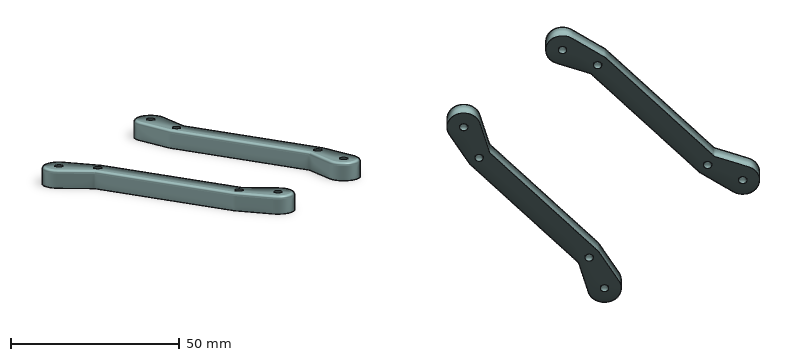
import cadquery as cq
import math

LENGTH = 80.0
HEIGHT = 5.5
END_DIAMETER = 10.0
BAR_WIDTH = 7.0
BEND_X = 24.0
END_OFFSET = 4.0
HOLE_DIAMETER = 2.5
ROUNDING_DIAMETER = 2.0
ARM_SPACING = 48.0

END_RADIUS = END_DIAMETER / 2
BAR_HALF = BAR_WIDTH / 2
ROUNDING_RADIUS = ROUNDING_DIAMETER / 2
END_X = LENGTH / 2 - END_RADIUS
ARM_RUN = END_X - BEND_X
ARM_ANGLE = math.atan2(END_OFFSET, ARM_RUN)
TAPER_ANGLE = math.asin((END_RADIUS - BAR_HALF) / math.hypot(ARM_RUN, END_OFFSET))
OUTER_ANGLE = ARM_ANGLE - TAPER_ANGLE
INNER_ANGLE = ARM_ANGLE + TAPER_ANGLE
INNER_CORNER_X = BEND_X - BAR_HALF * math.tan(INNER_ANGLE / 2)

HOLE_CENTERS = [
    (-END_X, -END_OFFSET),
    (-BEND_X, 0),
    (BEND_X, 0),
    (END_X, END_OFFSET),
]


def polar(center_x, center_y, radius, angle):
    """Point on a circle, with the angle measured from +X."""
    return (center_x + radius * math.cos(angle), center_y + radius * math.sin(angle))


def opposite(point):
    """The same point turned half a revolution about the middle of the arm."""
    return (-point[0], -point[1])


def arm_outline():
    """S-shaped outline: a straight bar whose tapered ends are tangent to the end rounds."""
    down = -math.pi / 2
    up = math.pi / 2
    bend_start = (BEND_X, -BAR_HALF)
    bend_middle = polar(BEND_X, 0, BAR_HALF, down + OUTER_ANGLE / 2)
    bend_end = polar(BEND_X, 0, BAR_HALF, down + OUTER_ANGLE)
    end_start = polar(END_X, END_OFFSET, END_RADIUS, down + OUTER_ANGLE)
    end_middle = polar(END_X, END_OFFSET, END_RADIUS, ARM_ANGLE)
    end_finish = polar(END_X, END_OFFSET, END_RADIUS, up + INNER_ANGLE)
    inner_corner = (INNER_CORNER_X, BAR_HALF)
    return (
        cq.Workplane("XY")
        .moveTo(*opposite(inner_corner))
        .lineTo(*bend_start)
        .threePointArc(bend_middle, bend_end)
        .lineTo(*end_start)
        .threePointArc(end_middle, end_finish)
        .lineTo(*inner_corner)
        .lineTo(*opposite(bend_start))
        .threePointArc(opposite(bend_middle), opposite(bend_end))
        .lineTo(*opposite(end_start))
        .threePointArc(opposite(end_middle), opposite(end_finish))
        .close()
    )


def make_arm():
    """One arm centred on the origin, with a rounded top edge, rounded bends and through holes."""
    arm = arm_outline().extrude(HEIGHT)
    arm = arm.faces(">Z").edges().fillet(ROUNDING_RADIUS)
    for side in (-1, 1):
        corner = (side * INNER_CORNER_X, side * BAR_HALF, HEIGHT / 2)
        arm = arm.edges(cq.selectors.NearestToPointSelector(corner)).fillet(ROUNDING_RADIUS)
    holes = cq.Workplane("XY").pushPoints(HOLE_CENTERS).circle(HOLE_DIAMETER / 2).extrude(HEIGHT)
    return arm.cut(holes)


arm_bodies = []
for is_mirrored in (False, True):
    arm_body = make_arm().translate((0, -ARM_SPACING / 2, 0))
    if is_mirrored:
        arm_body = arm_body.mirror("XZ")
    arm_bodies.append(arm_body.val())

result = cq.Compound.makeCompound(arm_bodies)